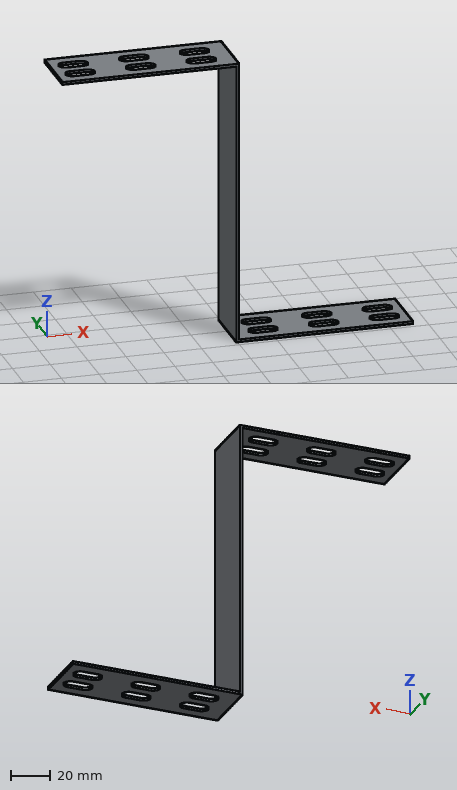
import cadquery as cq

length = 185.0
width = 33.0
height = 151.5
thickness = 1.5

slot_length = 15.2
slot_width = 7.0
slot_pitch = 32.0
row_spacing = 12.5
end_to_slot_center = 12.2
slots_per_row = 3

half_length = length / 2
half_height = height / 2
half_thickness = thickness / 2


def bracket_body():
    """Upper flange to -X, central web and lower flange to +X, with sharp bends."""
    half_outline = [
        (-half_thickness, half_height - thickness),
        (-half_length, half_height - thickness),
        (-half_length, half_height),
        (half_thickness, half_height),
    ]
    turned_outline = [(-x, -z) for x, z in half_outline]
    profile = cq.Workplane("XZ").polyline(half_outline + turned_outline).close()
    return profile.extrude(width / 2, both=True)


def flange_slots(side, flange_center_z):
    """Cutters for the slots of the flange on the given side (-1 or +1) in X."""
    outer_center = half_length - end_to_slot_center
    centers = [
        (side * (outer_center - column * slot_pitch), row * row_spacing / 2)
        for column in range(slots_per_row)
        for row in (-1, 1)
    ]
    return (
        cq.Workplane("XY", origin=(0, 0, flange_center_z))
        .pushPoints(centers)
        .slot2D(slot_length, slot_width)
        .extrude(thickness, both=True)
    )


flange_center_z = half_height - half_thickness
upper_slots = flange_slots(-1, flange_center_z)
lower_slots = flange_slots(1, -flange_center_z)

result = bracket_body().cut(upper_slots).cut(lower_slots)